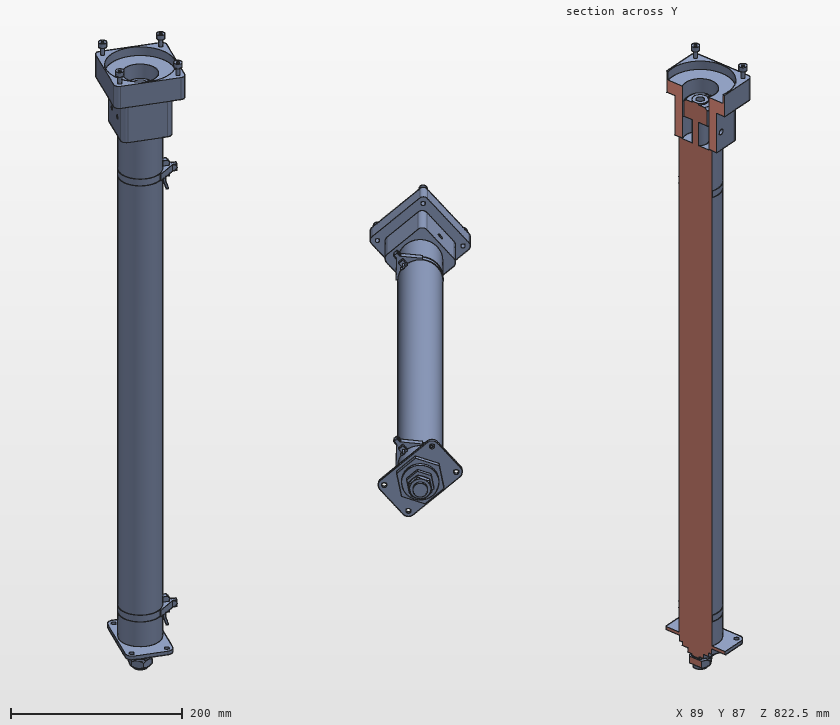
import cadquery as cq
import math

TOTAL_HEIGHT = 822.5
TOTAL_DEPTH = 87.0

SCREW_SPACING = 71.0
SCREW_HEAD_DIAMETER = 10.0
SCREW_HEAD_HEIGHT = 6.0
SCREW_SHANK_DIAMETER = 5.0
SCREW_SHANK_LENGTH = 25.0
SCREW_SOCKET_WIDTH = 4.0
SCREW_SOCKET_DEPTH = 2.5
SCREW_OFFSETS = (-SCREW_SPACING / 2, SCREW_SPACING / 2)

FLANGE_TOP = 806.0
FLANGE_WIDTH = 86.0
FLANGE_THICKNESS = 30.0
FLANGE_CORNER_RADIUS = 6.2
PILOT_DIAMETER = 83.0
PILOT_DEPTH = 11.5
HOUSING_WIDTH = 62.5
HOUSING_HEIGHT = 54.0
HOUSING_CORNER_RADIUS = 7.0
COUPLING_BORE_DIAMETER = 43.0
WALL_HOLE_HEIGHT = 747.0
FRONT_HOLE_DIAMETER = 5.0
FRONT_HOLE_SPACING = 22.0
SIDE_HOLE_DIAMETER = 7.0
FLANGE_BOTTOM = FLANGE_TOP - FLANGE_THICKNESS
HOUSING_BOTTOM = FLANGE_BOTTOM - HOUSING_HEIGHT

TUBE_DIAMETER = 53.0
TUBE_RADIUS = TUBE_DIAMETER / 2
DRIVE_SHAFT_DIAMETER = 20.0
HUB_DIAMETER = 39.5
HUB_TOP = 778.0
HUB_HEIGHT = 25.0
HUB_CHAMFER = 3.0
HUB_SLOT_WIDTH = 5.0
HUB_SLOT_DEPTH = 8.0
SHAFT_BORE_DIAMETER = 10.0
SHAFT_BORE_DEPTH = 8.0
SHAFT_PROTRUSION = 2.0
PLATE_TOP = 41.0
PLATE_THICKNESS = 5.0
PLATE_LENGTH = 89.0
PLATE_WIDTH = 57.5
PLATE_CORNER_RADIUS = 8.0
PLATE_HOLE_DIAMETER = 6.0
PLATE_HOLE_INSET = 7.0
PLATE_BOTTOM = PLATE_TOP - PLATE_THICKNESS

GUIDE_HEX_DIAMETER = 58.0
GUIDE_HEX_BOTTOM = 29.0
COLLAR_DIAMETER = 44.0
COLLAR_BOTTOM = 24.0
LOCK_HEX_DIAMETER = 34.0
LOCK_HEX_BOTTOM = 18.0
ROD_DIAMETER = 17.0
NUT_DIAMETER = 29.0
NUT_TOP = 14.0
NUT_BOTTOM = 4.0
NUT_CHAMFER = 2.0
WASHER_DIAMETER = 20.5
WASHER_BOTTOM = 16.0

CLAMP_HEIGHTS = (663.0, 79.0)
BAND_HEIGHT = 9.0
BAND_THICKNESS = 0.5
BAND_RADIUS = TUBE_RADIUS + BAND_THICKNESS
EAR_THICKNESS = 5.0
EAR_REACH = TOTAL_DEPTH - FLANGE_WIDTH / 2
EAR_SCREW_DIAMETER = 7.9
EAR_SCREW_LENGTH = 6.5
EAR_SOCKET_WIDTH = 4.0
EAR_SOCKET_DEPTH = 2.0
STRAP_ANGLE = 43.0
STRAP_THICKNESS = 2.05
STRAP_RADIUS = TUBE_RADIUS + STRAP_THICKNESS
SENSOR_WIDTH = 6.5
SENSOR_ROOT = 20.0
SENSOR_REACH = 34.5
SENSOR_TOP = 11.5
SENSOR_BOTTOM = -10.0
SENSOR_CHAMFER = 2.5
CABLE_DIAMETER = 3.0
CABLE_BEND_Y = 30.0
CABLE_END_Y = 33.0
CABLE_BEND_DROP = 18.0
CABLE_END_DROP = 28.0


def disc(diameter, bottom, top):
    return cq.Workplane("XY").workplane(offset=bottom).circle(diameter / 2).extrude(top - bottom)


def hexagon(corner_diameter, bottom, top):
    """Hexagonal prism with two corners on the X axis."""
    return cq.Workplane("XY").workplane(offset=bottom).polygon(6, corner_diameter).extrude(top - bottom)


def rounded_block(length, width, corner_radius, bottom, top):
    base = cq.Workplane("XY").workplane(offset=bottom)
    return base.rect(length, width).extrude(top - bottom).edges("|Z").fillet(corner_radius)


def make_motor_screw(x, y):
    """Socket-head screw standing proud of the flange."""
    head_bottom = TOTAL_HEIGHT - SCREW_HEAD_HEIGHT
    head = disc(SCREW_HEAD_DIAMETER, head_bottom, TOTAL_HEIGHT)
    shank = disc(SCREW_SHANK_DIAMETER, head_bottom - SCREW_SHANK_LENGTH, head_bottom)
    socket = hexagon(SCREW_SOCKET_WIDTH, TOTAL_HEIGHT - SCREW_SOCKET_DEPTH, TOTAL_HEIGHT)
    return head.union(shank).cut(socket).translate((x, y, 0))


def wall_hole(diameter, x, y, direction):
    """Hole from the outer face of the housing into the coupling bore."""
    start = cq.Vector(x, y, WALL_HOLE_HEIGHT)
    return cq.Workplane(
        cq.Solid.makeCylinder(diameter / 2, HOUSING_WIDTH / 2, start, cq.Vector(*direction))
    )


def make_adapter():
    """Motor flange and coupling housing with the coupling bore, screw holes and wall holes."""
    flange = rounded_block(FLANGE_WIDTH, FLANGE_WIDTH, FLANGE_CORNER_RADIUS, FLANGE_BOTTOM, FLANGE_TOP)
    housing = rounded_block(
        HOUSING_WIDTH, HOUSING_WIDTH, HOUSING_CORNER_RADIUS, HOUSING_BOTTOM, FLANGE_BOTTOM
    )
    adapter = flange.union(housing)
    adapter = adapter.cut(disc(PILOT_DIAMETER, FLANGE_TOP - PILOT_DEPTH, FLANGE_TOP))
    adapter = adapter.cut(disc(COUPLING_BORE_DIAMETER, HOUSING_BOTTOM, FLANGE_TOP))

    screw_hole = disc(SCREW_SHANK_DIAMETER, FLANGE_BOTTOM, FLANGE_TOP)
    for x in SCREW_OFFSETS:
        for y in SCREW_OFFSETS:
            adapter = adapter.cut(screw_hole.translate((x, y, 0)))

    for x in (-FRONT_HOLE_SPACING / 2, FRONT_HOLE_SPACING / 2):
        adapter = adapter.cut(wall_hole(FRONT_HOLE_DIAMETER, x, -HOUSING_WIDTH / 2, (0, 1, 0)))
    return adapter.cut(wall_hole(SIDE_HOLE_DIAMETER, -HOUSING_WIDTH / 2, 0, (1, 0, 0)))


def make_drive_hub():
    """Slotted coupling hub around the hollow drive shaft that leaves the top of the tube."""
    hub = disc(HUB_DIAMETER, HUB_TOP - HUB_HEIGHT, HUB_TOP).faces(">Z").edges().chamfer(HUB_CHAMFER)
    slot = (
        cq.Workplane("XY")
        .workplane(offset=HUB_TOP - HUB_SLOT_DEPTH)
        .rect(HUB_SLOT_WIDTH, HUB_DIAMETER)
        .extrude(HUB_SLOT_DEPTH)
    )
    shaft_top = HUB_TOP + SHAFT_PROTRUSION
    shaft = disc(DRIVE_SHAFT_DIAMETER, HOUSING_BOTTOM, shaft_top)
    shaft_bore = disc(SHAFT_BORE_DIAMETER, shaft_top - SHAFT_BORE_DEPTH, shaft_top)
    return hub.cut(slot).union(shaft).cut(shaft_bore)


def make_mounting_plate():
    plate = rounded_block(PLATE_LENGTH, PLATE_WIDTH, PLATE_CORNER_RADIUS, PLATE_BOTTOM, PLATE_TOP)
    hole_x = PLATE_LENGTH - 2 * PLATE_HOLE_INSET
    hole_y = PLATE_WIDTH - 2 * PLATE_HOLE_INSET
    return (
        plate.faces(">Z").workplane(origin=(0, 0, PLATE_TOP))
        .rect(hole_x, hole_y, forConstruction=True)
        .vertices()
        .hole(PLATE_HOLE_DIAMETER)
    )


def make_rod_nose():
    """Guide hexagon, collar, lock hexagon, washer and a chamfered nut on the end of the rod."""
    guide = hexagon(GUIDE_HEX_DIAMETER, GUIDE_HEX_BOTTOM, PLATE_BOTTOM)
    collar = disc(COLLAR_DIAMETER, COLLAR_BOTTOM, GUIDE_HEX_BOTTOM)
    lock = hexagon(LOCK_HEX_DIAMETER, LOCK_HEX_BOTTOM, COLLAR_BOTTOM)
    rod = disc(ROD_DIAMETER, 0, LOCK_HEX_BOTTOM)
    washer = disc(WASHER_DIAMETER, WASHER_BOTTOM, LOCK_HEX_BOTTOM)
    nut_envelope = disc(NUT_DIAMETER, NUT_BOTTOM, NUT_TOP).edges().chamfer(NUT_CHAMFER)
    nut = hexagon(NUT_DIAMETER, NUT_BOTTOM, NUT_TOP).intersect(nut_envelope)
    return guide.union(collar).union(lock).union(rod).union(washer).union(nut)


def make_cylinder():
    tube = disc(TUBE_DIAMETER, PLATE_BOTTOM, HOUSING_BOTTOM)
    return tube.union(make_mounting_plate()).union(make_rod_nose()).union(make_drive_hub())


def make_clamp_band():
    """Thin band with thicker straight straps that leave the tube on tangents and meet in an ear on +Y."""
    base = cq.Workplane("XY").workplane(offset=-BAND_HEIGHT / 2)
    angle = math.radians(STRAP_ANGLE)
    tangent_x = STRAP_RADIUS * math.cos(angle)
    tangent_y = STRAP_RADIUS * math.sin(angle)
    ear_x = EAR_THICKNESS / 2
    ear_root_y = tangent_y + (tangent_x - ear_x) / math.tan(angle)
    outline = [
        (0, 0),
        (tangent_x, tangent_y),
        (ear_x, ear_root_y),
        (ear_x, EAR_REACH),
        (-ear_x, EAR_REACH),
        (-ear_x, ear_root_y),
        (-tangent_x, tangent_y),
    ]
    straps = base.polyline(outline).close().extrude(BAND_HEIGHT)
    return base.circle(BAND_RADIUS).extrude(BAND_HEIGHT).union(straps)


def make_sensor():
    """Sensor held by the clamp, with its cable hanging down."""
    body = (
        cq.Workplane("YZ")
        .moveTo(SENSOR_ROOT, SENSOR_BOTTOM)
        .lineTo(SENSOR_REACH, SENSOR_BOTTOM)
        .lineTo(SENSOR_REACH, SENSOR_TOP - SENSOR_CHAMFER)
        .lineTo(SENSOR_REACH - SENSOR_CHAMFER, SENSOR_TOP)
        .lineTo(SENSOR_ROOT, SENSOR_TOP)
        .close()
        .extrude(SENSOR_WIDTH / 2, both=True)
    )
    cable_path = (
        cq.Workplane("YZ")
        .moveTo(CABLE_BEND_Y, SENSOR_BOTTOM)
        .lineTo(CABLE_BEND_Y, -CABLE_BEND_DROP)
        .lineTo(CABLE_END_Y, -CABLE_END_DROP)
    )
    cable = (
        cq.Workplane("XY", origin=(0, CABLE_BEND_Y, SENSOR_BOTTOM))
        .circle(CABLE_DIAMETER / 2)
        .sweep(cable_path, transition="right")
    )
    return body.union(cable)


def make_sensor_clamp(height):
    """Band, sensor and ear screw of one clamp, with its band centred at the given height."""
    ear_screw = cq.Workplane("YZ").circle(EAR_SCREW_DIAMETER / 2).extrude(EAR_SCREW_LENGTH / 2, both=True)
    ear_screw = ear_screw.faces("<X").workplane().polygon(6, EAR_SOCKET_WIDTH).cutBlind(-EAR_SOCKET_DEPTH)
    ear_screw = ear_screw.translate((0, EAR_REACH - EAR_SCREW_DIAMETER / 2, 0))
    clamp = make_clamp_band().union(make_sensor()).union(ear_screw)
    tube_space = disc(TUBE_DIAMETER, SENSOR_BOTTOM, SENSOR_TOP)
    return clamp.cut(tube_space).translate((0, 0, height))


motor_screws = [make_motor_screw(x, y) for x in SCREW_OFFSETS for y in SCREW_OFFSETS]
adapter = make_adapter()
cylinder = make_cylinder()
sensor_clamps = [make_sensor_clamp(height) for height in CLAMP_HEIGHTS]

result = cq.Compound.makeCompound(
    [
        adapter.val(),
        cylinder.val(),
        *[clamp.val() for clamp in sensor_clamps],
        *[screw.val() for screw in motor_screws],
    ]
)